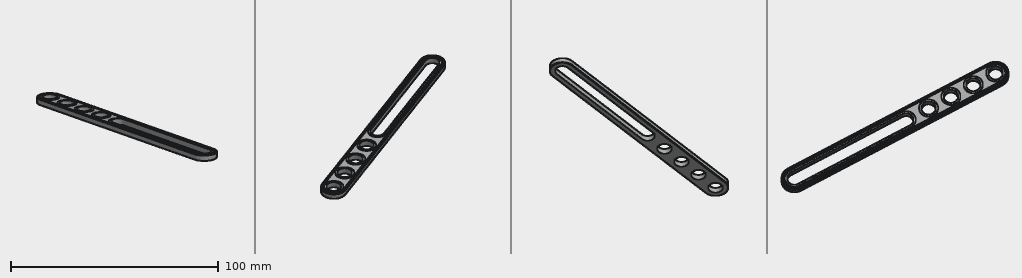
import cadquery as cq

length = 125.0
width = 12.5
thickness = 3.1
edge_chamfer = 0.3

hole_diameter = 7.0
hole_count = 4
pitch = width
collar_diameter = 9.2

border_width = 1.1
recess_depth = 0.2

first_hole_x = -length / 2 + width / 2
hole_centres = [(first_hole_x + i * pitch, 0) for i in range(hole_count)]
slot_start_x = first_hole_x + hole_count * pitch
slot_end_x = length / 2 - width / 2


def rounded_bar(start_x, end_x, bar_width, bottom_z, height):
    """Bar with full-round ends whose end centres are at start_x and end_x."""
    return (
        cq.Workplane("XY", origin=((start_x + end_x) / 2, 0, bottom_z))
        .slot2D(end_x - start_x + bar_width, bar_width)
        .extrude(height)
    )


def openings(diameter, bottom_z, height):
    """The row of round holes and the long slot, all of one width."""
    holes = (
        cq.Workplane("XY", origin=(0, 0, bottom_z))
        .pushPoints(hole_centres)
        .circle(diameter / 2)
        .extrude(height)
    )
    return holes.union(rounded_bar(slot_start_x, slot_end_x, diameter, bottom_z, height))


body = rounded_bar(first_hole_x, slot_end_x, width, 0, thickness)
body = body.faces("<Z or >Z").edges().chamfer(edge_chamfer)

recess_floor_z = thickness - recess_depth
recess = rounded_bar(first_hole_x, slot_end_x, width - 2 * border_width, recess_floor_z, recess_depth)
recess = recess.cut(openings(collar_diameter, recess_floor_z, recess_depth))

result = body.cut(recess).cut(openings(hole_diameter, 0, thickness))